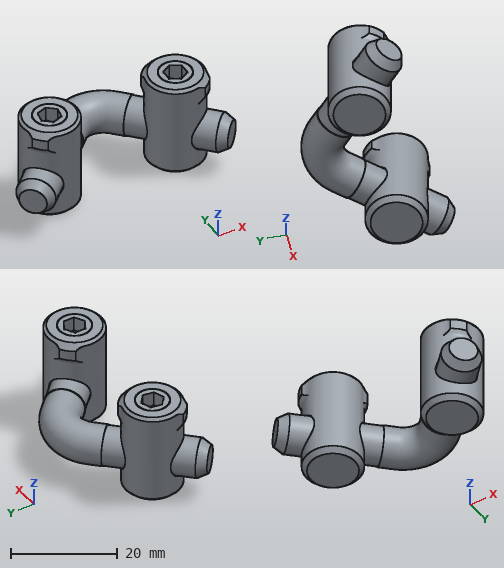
import cadquery as cq
import math

ROD_DIAMETER = 7.8
ELBOW_DIAMETER = 8.0
ROD_HEIGHT = 7.65
ARM_ANGLE = 45
HOUSING_TO_APEX = 19.0
HOUSING_TO_ELBOW = 9.0
HOUSING_TO_TIP = 11.0
BEND_RADIUS = 7.0
TIP_LENGTH = 2.0
TIP_ANGLE = 30

HOUSING_DIAMETER = 11.8
HOUSING_HEIGHT = 20.0
TOP_CHAMFER = 0.6
BOTTOM_CHAMFER = 1.0
CROSS_HOLE_DIAMETER = 8.0
SCREW_HOLE_DIAMETER = 6.65

LUG_RADIUS = 6.5
LUG_EDGE_DEPTH = 3.4
LUG_TAPER_ANGLE = 30
LUG_BLEND_RADIUS = 1.0
LUG_HALF_ANGLE = 30.6
LUG_FLANK_RADIUS = 5.55

SCREW_DIAMETER = 6.5
HEX_ACROSS_FLATS = 4.0
HEX_DEPTH = 3.0
SOCKET_POINT_ANGLE = 120
LEFT_HEX_TURN = -10

rod_radius = ROD_DIAMETER / 2
housing_radius = HOUSING_DIAMETER / 2
arm_direction = math.radians(ARM_ANGLE)
housing_x = HOUSING_TO_APEX * math.cos(arm_direction)
apex_y = HOUSING_TO_APEX * math.sin(arm_direction)
housing_to_bend = HOUSING_TO_APEX - BEND_RADIUS


def on_arm(distance, side):
    """Point on an arm axis, measured from the housing axis toward the elbow; side -1 is left."""
    x = side * (housing_x - distance * math.cos(arm_direction))
    return cq.Vector(x, distance * math.sin(arm_direction), ROD_HEIGHT)


def arm(side):
    """Straight arm with a tapered free end, up to the start of the elbow."""
    tip = on_arm(-HOUSING_TO_TIP, side)
    toward_elbow = on_arm(0, side) - tip
    tip_radius = rod_radius - TIP_LENGTH * math.tan(math.radians(TIP_ANGLE))
    taper = cq.Solid.makeCone(tip_radius, rod_radius, TIP_LENGTH, tip, toward_elbow)
    shaft_start = on_arm(TIP_LENGTH - HOUSING_TO_TIP, side)
    shaft_length = HOUSING_TO_TIP + HOUSING_TO_ELBOW - TIP_LENGTH
    shaft = cq.Solid.makeCylinder(rod_radius, shaft_length, shaft_start, toward_elbow)
    return cq.Workplane(taper).union(cq.Workplane(shaft))


def make_rod():
    """Elbow swept between the arms, joined to both arms."""
    start = on_arm(HOUSING_TO_ELBOW, -1)
    bend_top = cq.Vector(0, apex_y - BEND_RADIUS * (math.sqrt(2) - 1), ROD_HEIGHT)
    path = (
        cq.Workplane("XY", origin=(0, 0, ROD_HEIGHT))
        .moveTo(start.x, start.y)
        .lineTo(*on_arm(housing_to_bend, -1).toTuple()[:2])
        .threePointArc((bend_top.x, bend_top.y), on_arm(housing_to_bend, 1).toTuple()[:2])
        .lineTo(*on_arm(HOUSING_TO_ELBOW, 1).toTuple()[:2])
    )
    section = cq.Plane(origin=start, xDir=(0, 0, 1), normal=start - on_arm(0, -1))
    elbow = cq.Workplane(section).circle(ELBOW_DIAMETER / 2).sweep(path)
    return elbow.union(arm(-1)).union(arm(1))


def lug_ring():
    """Full ring with the lug's profile; its top continues the housing's 45 degree top chamfer."""
    taper = math.radians(LUG_TAPER_ANGLE)
    blend_middle = taper / 2
    blend_top_radius = housing_radius + LUG_BLEND_RADIUS * (1 - math.cos(taper))
    blend_middle_radius = housing_radius + LUG_BLEND_RADIUS * (1 - math.cos(blend_middle))
    edge_z = HOUSING_HEIGHT - LUG_EDGE_DEPTH
    blend_top_z = edge_z - (LUG_RADIUS - blend_top_radius) / math.tan(taper)
    blend_bottom_z = blend_top_z - LUG_BLEND_RADIUS * math.sin(taper)
    blend_middle_z = blend_bottom_z + LUG_BLEND_RADIUS * math.sin(blend_middle)
    chamfer_inner_radius = housing_radius - TOP_CHAMFER
    outer_top_z = HOUSING_HEIGHT - (LUG_RADIUS - chamfer_inner_radius)
    core_radius = SCREW_HOLE_DIAMETER / 2
    return (
        cq.Workplane("XZ")
        .moveTo(core_radius, blend_bottom_z)
        .lineTo(housing_radius, blend_bottom_z)
        .threePointArc((blend_middle_radius, blend_middle_z), (blend_top_radius, blend_top_z))
        .lineTo(LUG_RADIUS, edge_z)
        .lineTo(LUG_RADIUS, outer_top_z)
        .lineTo(chamfer_inner_radius, HOUSING_HEIGHT)
        .lineTo(core_radius, HOUSING_HEIGHT)
        .close()
        .revolve(360, (0, 0, 0), (0, 1, 0))
    )


def make_lugs():
    """Two opposite sectors of the ring on the X axis, with hollow flanks tangent to the housing."""
    half_angle = math.radians(LUG_HALF_ANGLE)
    sector_x = 2 * LUG_RADIUS
    sector_y = sector_x * math.tan(half_angle)
    sectors = (
        cq.Workplane("XY")
        .polyline([(0, 0), (sector_x, -sector_y), (sector_x, sector_y)]).close()
        .polyline([(0, 0), (-sector_x, sector_y), (-sector_x, -sector_y)]).close()
        .extrude(HOUSING_HEIGHT)
    )
    flank_x = (housing_radius + LUG_FLANK_RADIUS) * math.cos(half_angle)
    flank_y = (housing_radius + LUG_FLANK_RADIUS) * math.sin(half_angle)
    flanks = (
        cq.Workplane("XY")
        .rect(2 * flank_x, 2 * flank_y, forConstruction=True)
        .vertices()
        .circle(LUG_FLANK_RADIUS)
        .extrude(HOUSING_HEIGHT, combine=False)
    )
    lugs = lug_ring().intersect(sectors)
    for flank in flanks.vals():
        lugs = lugs.cut(cq.Workplane(flank))
    return lugs


def make_housing(side):
    """Housing with its lugs turned along its arm, a cross hole for the arm and a screw hole."""
    body = (
        cq.Workplane("XY")
        .circle(housing_radius)
        .extrude(HOUSING_HEIGHT)
        .faces(">Z").chamfer(TOP_CHAMFER)
        .faces("<Z").chamfer(BOTTOM_CHAMFER)
    )
    cross_hole = (
        cq.Workplane("YZ")
        .center(0, ROD_HEIGHT)
        .circle(CROSS_HOLE_DIAMETER / 2)
        .extrude(HOUSING_DIAMETER, both=True)
    )
    screw_hole = (
        cq.Workplane("XY", origin=(0, 0, ROD_HEIGHT))
        .circle(SCREW_HOLE_DIAMETER / 2)
        .extrude(HOUSING_HEIGHT - ROD_HEIGHT)
    )
    housing = body.union(make_lugs()).cut(cross_hole).cut(screw_hole)
    housing = housing.rotate((0, 0, 0), (0, 0, 1), -side * ARM_ANGLE)
    return housing.translate((side * housing_x, 0, 0))


def make_screw(side, hex_turn):
    """Set screw resting on the arm, flush with the housing top, with a hexagon socket."""
    screw_bottom = ROD_HEIGHT + rod_radius
    screw = (
        cq.Workplane("XY", origin=(0, 0, screw_bottom))
        .circle(SCREW_DIAMETER / 2)
        .extrude(HOUSING_HEIGHT - screw_bottom)
    )
    corner_radius = HEX_ACROSS_FLATS / math.sqrt(3)
    point_depth = corner_radius / math.tan(math.radians(SOCKET_POINT_ANGLE / 2))
    socket_bottom = HOUSING_HEIGHT - HEX_DEPTH - point_depth
    hexagon = (
        cq.Workplane("XY", origin=(0, 0, socket_bottom))
        .polygon(6, 2 * corner_radius)
        .extrude(HEX_DEPTH + point_depth)
        .rotate((0, 0, 0), (0, 0, 1), 90 + hex_turn)
    )
    pointed_bore = (
        cq.Workplane("XZ")
        .moveTo(0, socket_bottom)
        .lineTo(corner_radius, HOUSING_HEIGHT - HEX_DEPTH)
        .lineTo(corner_radius, HOUSING_HEIGHT)
        .lineTo(0, HOUSING_HEIGHT)
        .close()
        .revolve(360, (0, 0, 0), (0, 1, 0))
    )
    screw = screw.cut(hexagon.intersect(pointed_bore))
    return screw.translate((side * housing_x, 0, 0))


rod = make_rod()
housings = []
screws = []
for side, hex_turn in [(-1, LEFT_HEX_TURN), (1, 0)]:
    housings.append(make_housing(side).solids().val())
    screws.append(make_screw(side, hex_turn).solids().val())

result = cq.Compound.makeCompound([rod.solids().val(), *housings, *screws])